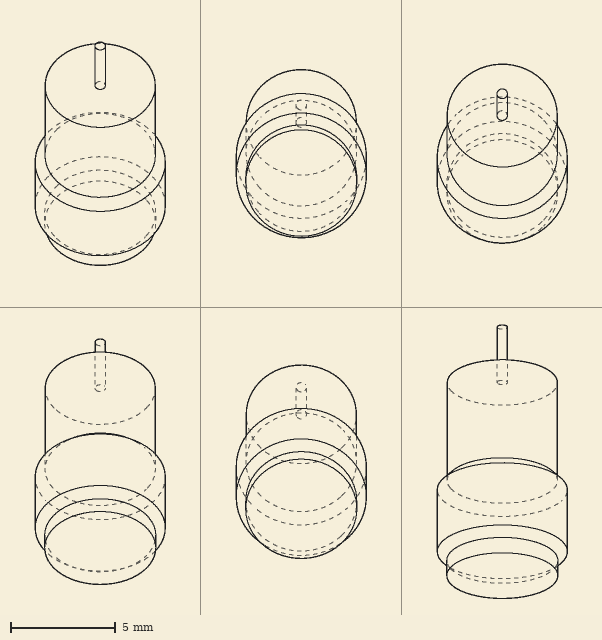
import cadquery as cq

PIN_DIAMETER = 0.5
BODY_DIAMETER = 5.3
COLLAR_DIAMETER = 6.26
BASE_DIAMETER = 5.34

BASE_LENGTH = 0.81
LOWER_TAPER_LENGTH = 0.45
COLLAR_LENGTH = 3.28
BODY_LENGTH = 5.17
PIN_LENGTH = 2.92
UPPER_TAPER_LENGTH = (COLLAR_DIAMETER - BODY_DIAMETER) / 2


def revolved_body():
    """Base, collar with its two tapers, and upper body, turned about Z."""
    base_radius = BASE_DIAMETER / 2
    collar_radius = COLLAR_DIAMETER / 2
    body_radius = BODY_DIAMETER / 2
    collar_bottom = BASE_LENGTH + LOWER_TAPER_LENGTH
    collar_top = collar_bottom + COLLAR_LENGTH
    body_bottom = collar_top + UPPER_TAPER_LENGTH
    return (
        cq.Workplane("XZ")
        .moveTo(0, 0)
        .lineTo(base_radius, 0)
        .lineTo(base_radius, BASE_LENGTH)
        .lineTo(collar_radius, collar_bottom)
        .lineTo(collar_radius, collar_top)
        .lineTo(body_radius, body_bottom)
        .lineTo(body_radius, body_bottom + BODY_LENGTH)
        .lineTo(0, body_bottom + BODY_LENGTH)
        .close()
        .revolve(360, (0, 0, 0), (0, 1, 0))
    )


def add_pin(body):
    """Centre pin standing on the top face of the body."""
    return body.faces(">Z").workplane().circle(PIN_DIAMETER / 2).extrude(PIN_LENGTH)


result = add_pin(revolved_body())